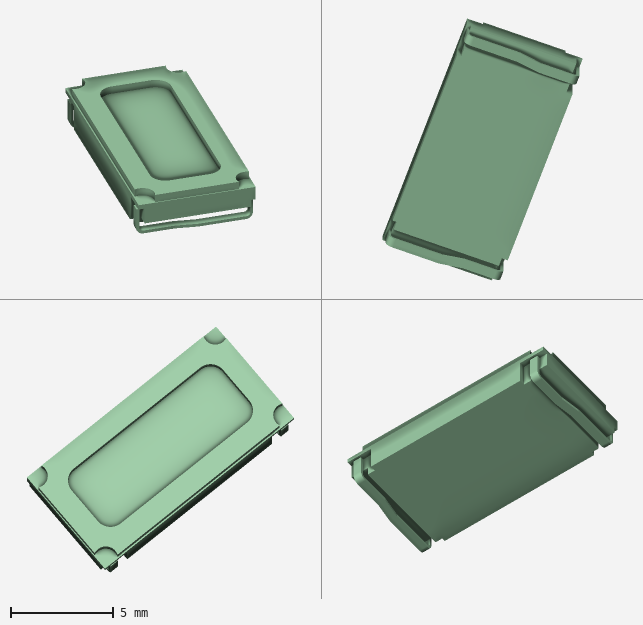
import cadquery as cq

length = 12.0
width = 6.0
height = 2.25

body_bottom = 0.28
end_bottom = 0.77
body_top = 1.85

lid_inset_x = 0.05
lid_inset_y = 0.07
scallop_inset = 0.3
scallop_radius = 0.6
window_margin = 1.2
window_radius = 0.79

end_step_length = 1.0
recess_length = 1.42
front_recess_depth = 0.31
front_recess_top = 1.61
rear_recess_depth = 0.2
rear_recess_top = 1.15

clip_thickness = 0.15
rear_leg_thickness = 0.12
clip_bend_radius = 0.35
clip_strip_width = 0.45
front_leg_top = 1.42
front_leg_inset = 0.36
rear_leg_inset = 0.19
jog_front_y = -1.02
jog_rear_y = 0.13

half_length = length / 2
half_width = width / 2


def box_between(x0, x1, y0, y1, z0, z1):
    """Box given by its limits along each axis."""
    return cq.Workplane("XY").box(x1 - x0, y1 - y0, z1 - z0, centered=False).translate((x0, y0, z0))


def make_lid():
    """Framed lid with scalloped corners and a rounded window."""
    lid_height = height - body_top
    lid = (
        cq.Workplane("XY", origin=(0, 0, body_top))
        .rect(length - 2 * lid_inset_x, width - 2 * lid_inset_y)
        .extrude(lid_height)
    )
    scallops = (
        cq.Workplane("XY", origin=(0, 0, body_top))
        .rect(length - 2 * scallop_inset, width - 2 * scallop_inset, forConstruction=True)
        .vertices()
        .circle(scallop_radius)
        .extrude(lid_height)
    )
    window = (
        cq.Workplane("XY", origin=(0, 0, body_top))
        .rect(length - 2 * window_margin, width - 2 * window_margin)
        .extrude(lid_height)
        .edges("|Z")
        .fillet(window_radius)
    )
    return lid.cut(scallops).cut(window)


def end_cutouts():
    """Space removed from the -X end: the raised underside and both clip recesses."""
    step = box_between(
        -half_length, -half_length + end_step_length, -half_width, half_width, body_bottom, end_bottom
    )
    recess_end = -half_length + recess_length
    front_recess = box_between(
        -half_length, recess_end, -half_width, -half_width + front_recess_depth, body_bottom, front_recess_top
    )
    rear_recess = box_between(
        -half_length, recess_end, half_width - rear_recess_depth, half_width, body_bottom, rear_recess_top
    )
    return step.union(front_recess).union(rear_recess)


def make_clip():
    """Bent strip under the -X end, with a sideways jog in its middle."""
    front_outer = -half_width
    front_inner = front_outer + clip_thickness
    rear_inner = half_width - rear_recess_depth
    rear_outer = rear_inner + rear_leg_thickness
    inner_radius = clip_bend_radius - clip_thickness
    rear_bend_y = rear_outer - clip_bend_radius
    front_bend_y = front_outer + clip_bend_radius

    side_profile = (
        cq.Workplane("YZ", origin=(-half_length, 0, 0))
        .moveTo(front_outer, front_leg_top)
        .lineTo(front_outer, clip_bend_radius)
        .radiusArc((front_bend_y, 0), -clip_bend_radius)
        .lineTo(rear_bend_y, 0)
        .radiusArc((rear_outer, clip_bend_radius), -clip_bend_radius)
        .lineTo(rear_outer, rear_recess_top)
        .lineTo(rear_inner, rear_recess_top)
        .lineTo(rear_inner, clip_bend_radius)
        .radiusArc((rear_inner - inner_radius, clip_thickness), inner_radius)
        .lineTo(front_bend_y, clip_thickness)
        .radiusArc((front_inner, clip_bend_radius), inner_radius)
        .lineTo(front_inner, front_leg_top)
        .close()
        .extrude(end_step_length)
    )
    front_x = -half_length + front_leg_inset
    rear_x = -half_length + rear_leg_inset
    jogged_strip = (
        cq.Workplane("XY")
        .polyline([
            (front_x, -half_width),
            (front_x + clip_strip_width, -half_width),
            (front_x + clip_strip_width, jog_front_y),
            (rear_x + clip_strip_width, jog_rear_y),
            (rear_x + clip_strip_width, half_width),
            (rear_x, half_width),
            (rear_x, jog_rear_y),
            (front_x, jog_front_y),
        ])
        .close()
        .extrude(height)
    )
    return side_profile.intersect(jogged_strip)


body = box_between(-half_length, half_length, -half_width, half_width, body_bottom, body_top)
cutouts = end_cutouts()
clip = make_clip()

result = (
    body.cut(cutouts)
    .cut(cutouts.mirror("YZ"))
    .union(make_lid())
    .union(clip)
    .union(clip.mirror("YZ"))
)